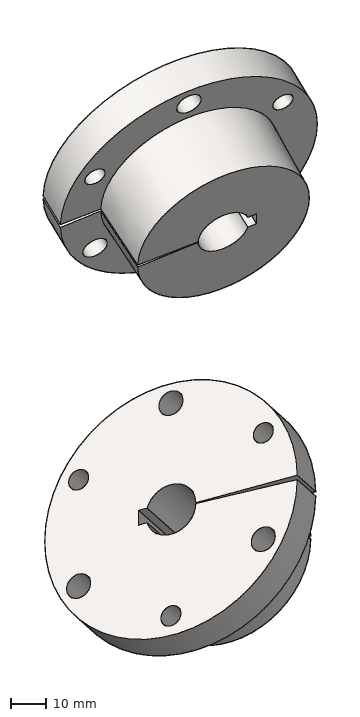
import cadquery as cq
import math

total_length = 33.35
flange_diameter = 81.0
flange_thickness = 11.2
hub_base_radius = 27.8
hub_end_radius = 27.05

bore_diameter = 15.95
keyway_width = 4.7
keyway_depth_from_axis = 10.4

bolt_circle_radius = 34.2
large_hole_diameter = 7.7
small_hole_diameter = 6.4
holes_per_set = 3

split_angle = 2.0

flange_radius = flange_diameter / 2


def make_body():
    """Flange and tapered hub, revolved about the X axis."""
    profile = (
        cq.Workplane("XY")
        .moveTo(0, 0)
        .lineTo(0, flange_radius)
        .lineTo(flange_thickness, flange_radius)
        .lineTo(flange_thickness, hub_base_radius)
        .lineTo(total_length, hub_end_radius)
        .lineTo(total_length, 0)
        .close()
    )
    return profile.revolve(360, (0, 0, 0), (1, 0, 0))


def make_bore_and_keyway():
    """Central bore with a keyway on its +Y side, through the full length."""
    bore = cq.Workplane("YZ").circle(bore_diameter / 2).extrude(total_length)
    keyway = cq.Workplane("YZ").rect(keyway_depth_from_axis, keyway_width).extrude(total_length)
    return bore.union(keyway.translate((0, keyway_depth_from_axis / 2, 0)))


def make_hole_set(diameter, start_angle):
    """Evenly spaced flange holes; the angle is measured from +Y toward +Z."""
    return (
        cq.Workplane("YZ")
        .polarArray(bolt_circle_radius, start_angle, 360, holes_per_set)
        .circle(diameter / 2)
        .extrude(flange_thickness)
    )


def make_split():
    """Radial wedge toward -Y, with its point on the axis."""
    half_width = flange_radius * math.tan(math.radians(split_angle / 2))
    return (
        cq.Workplane("YZ")
        .moveTo(0, 0)
        .lineTo(-2 * flange_radius, 2 * half_width)
        .lineTo(-2 * flange_radius, -2 * half_width)
        .close()
        .extrude(total_length)
    )


result = (
    make_body()
    .cut(make_bore_and_keyway())
    .cut(make_hole_set(large_hole_diameter, 90))
    .cut(make_hole_set(small_hole_diameter, -90))
    .cut(make_split())
)